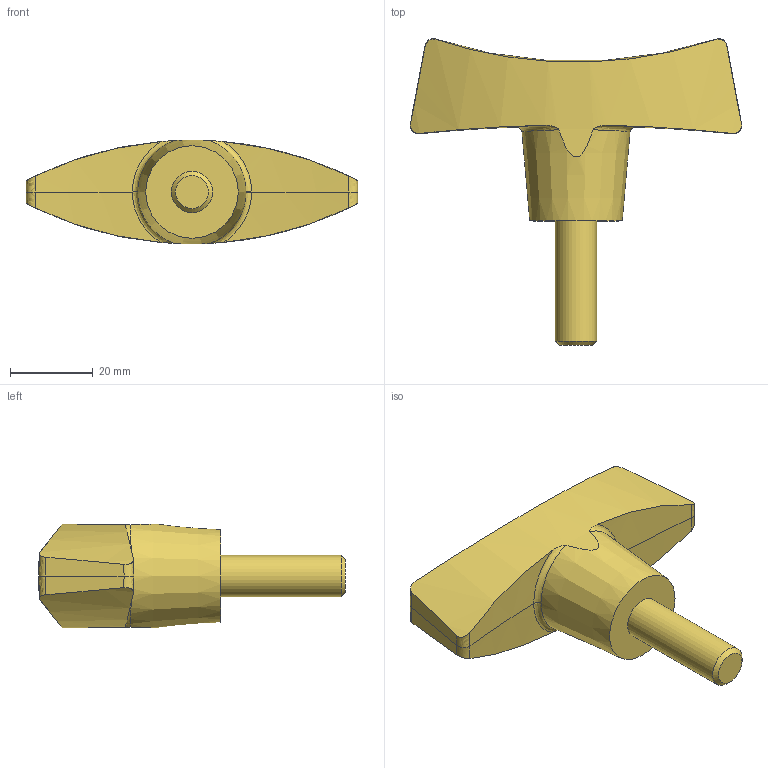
import cadquery as cq
import math


stud_diameter = 10.0
stud_length = 30.0
stud_chamfer = 1.0

boss_end_radius = 11.15
boss_draft = 5.0
boss_fillet = 1.3

bar_front_tip_y = 20.75
bar_front_mid_y = 22.93
bar_back_tip_y = 44.62
bar_back_mid_y = 38.5
bar_front_half_width = 40.45
bar_back_half_width = 36.0
corner_radius = 2.0
bar_draft = 1.0

half_thickness = 12.5
half_span = 40.0
tip_half_thickness = 2.75

trim_allowance = 2.0


def bar():
    """Bow-tie bar: two mirrored halves, each drafted away from the parting plane Z = 0."""
    upper = (
        cq.Workplane("XY")
        .moveTo(-bar_front_half_width, bar_front_tip_y)
        .threePointArc((0, bar_front_mid_y), (bar_front_half_width, bar_front_tip_y))
        .lineTo(bar_back_half_width, bar_back_tip_y)
        .threePointArc((0, bar_back_mid_y), (-bar_back_half_width, bar_back_tip_y))
        .close()
        .extrude(half_thickness + trim_allowance, taper=bar_draft)
    )
    upper = upper.edges("not (<Z or >Z)").fillet(corner_radius)
    return upper.union(upper.mirror("XY"))


def boss():
    """Cone that widens from its end face into the middle of the bar."""
    depth = (bar_front_mid_y + bar_back_mid_y) / 2
    inner_radius = boss_end_radius + depth * math.tan(math.radians(boss_draft))
    profile = [(0, 0), (boss_end_radius, 0), (inner_radius, depth), (0, depth)]
    return cq.Workplane("XY").polyline(profile).close().revolve(360, (0, 0, 0), (0, 1, 0))


def lens():
    """Prism along Y with the arched top and bottom that the handle is trimmed to."""
    outer_x = half_span + trim_allowance
    return (
        cq.Workplane("XZ")
        .moveTo(-half_span, -tip_half_thickness)
        .threePointArc((0, -half_thickness), (half_span, -tip_half_thickness))
        .lineTo(outer_x, -tip_half_thickness)
        .lineTo(outer_x, tip_half_thickness)
        .lineTo(half_span, tip_half_thickness)
        .threePointArc((0, half_thickness), (-half_span, tip_half_thickness))
        .lineTo(-outer_x, tip_half_thickness)
        .lineTo(-outer_x, -tip_half_thickness)
        .close()
        .extrude(-bar_back_tip_y)
    )


def handle():
    """Bar and boss blended by a fillet, then trimmed to the lens section."""
    joined = bar().union(boss())
    reach = half_thickness + 2 * trim_allowance
    boss_root = cq.selectors.BoxSelector(
        (-reach, bar_front_tip_y, -reach),
        (reach, bar_front_mid_y + trim_allowance, reach),
        boundingbox=True,
    )
    return joined.edges(boss_root).fillet(boss_fillet).intersect(lens())


def stud():
    """Round stud that leaves the boss toward -Y, with a chamfered tip."""
    rod = cq.Workplane("XZ").circle(stud_diameter / 2).extrude(stud_length)
    return rod.faces("<Y").chamfer(stud_chamfer)


result = handle().union(stud())